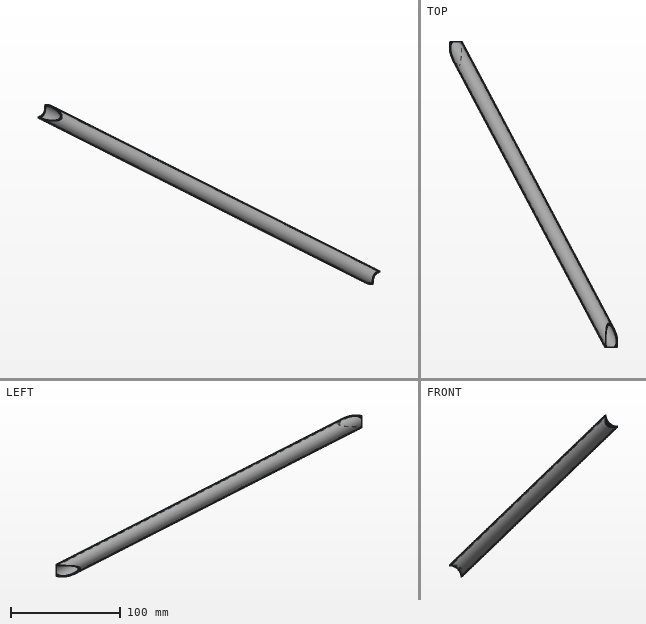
import cadquery as cq

SIZE_X = 152.7
SIZE_Y = 279.2
SIZE_Z = 147.7

TUBE_DIAMETER = 15.0
WALL = 0.8
TUBE_LENGTH = 1.4 * SIZE_Y
SLOPE_X = -0.53
SLOPE_Z = -0.51

SADDLE_RADIUS = 10.3


def make_tube():
    """Hollow tube centred on the origin and slanted through all three axes."""
    direction = cq.Vector(SLOPE_X, 1, SLOPE_Z).normalized()
    start = direction * (-TUBE_LENGTH / 2)
    section = cq.Workplane(cq.Plane(origin=start, normal=direction))
    outer_radius = TUBE_DIAMETER / 2
    return section.circle(outer_radius).circle(outer_radius - WALL).extrude(TUBE_LENGTH)


def make_saddle_cutters():
    """Cylinders along the two opposite Y edges of the envelope."""
    edges = [(side * SIZE_X / 2, side * SIZE_Z / 2) for side in (-1, 1)]
    return cq.Workplane("XZ").pushPoints(edges).circle(SADDLE_RADIUS).extrude(SIZE_Y, both=True)


envelope = cq.Workplane("XY").box(SIZE_X, SIZE_Y, SIZE_Z)
result = make_tube().intersect(envelope).cut(make_saddle_cutters())